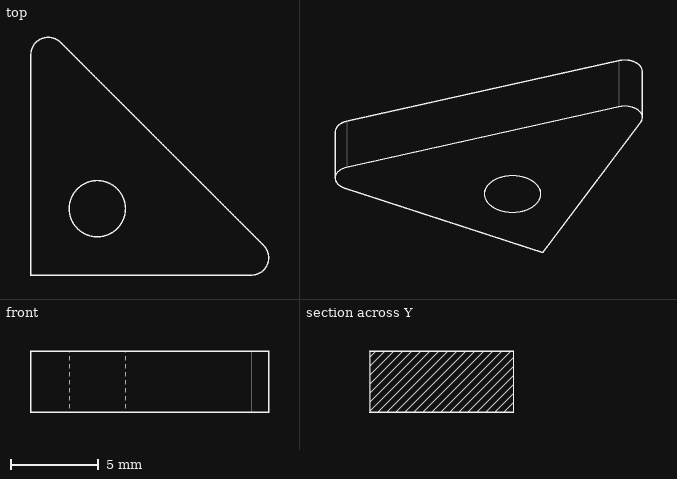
import cadquery as cq

leg_length = 15.0
thickness = 3.5
tip_radius = 1.0
hole_diameter = 3.2
hole_offset = 3.8


def make_triangle_plate():
    """Right-angled plate with its square corner at the origin."""
    return (
        cq.Workplane("XY")
        .polyline([(0, 0), (leg_length, 0), (0, leg_length)])
        .close()
        .extrude(thickness)
    )


def round_acute_tips(plate):
    """Round the two acute corners and leave the square corner sharp."""
    x_tip = cq.NearestToPointSelector((leg_length, 0, thickness / 2))
    y_tip = cq.NearestToPointSelector((0, leg_length, thickness / 2))
    upright_edges = plate.edges("|Z")
    tips = upright_edges.edges(x_tip).add(upright_edges.edges(y_tip))
    return tips.fillet(tip_radius)


def make_hole_cutter():
    """Cylinder for the through hole, equally far from both legs."""
    return (
        cq.Workplane("XY")
        .center(hole_offset, hole_offset)
        .circle(hole_diameter / 2)
        .extrude(thickness)
    )


result = round_acute_tips(make_triangle_plate()).cut(make_hole_cutter())